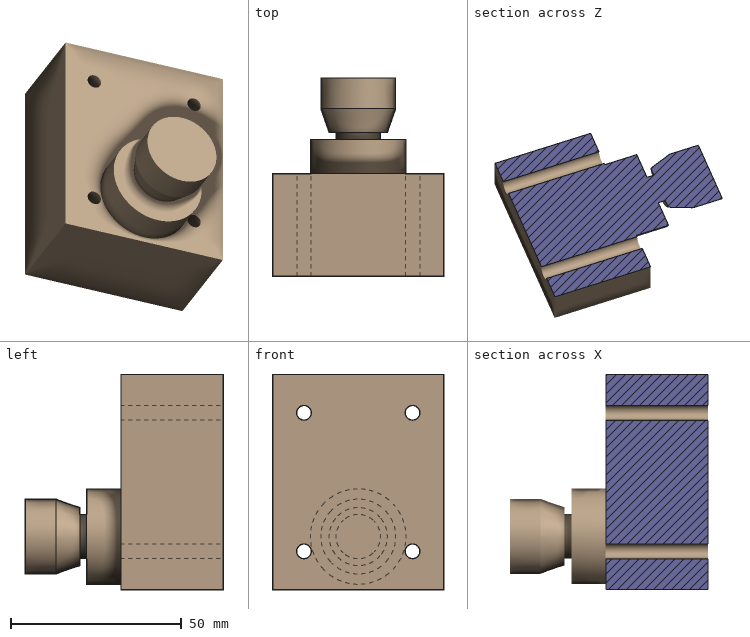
import cadquery as cq

block_width = 50.0
block_depth = 30.0
block_height = 63.0

hole_diameter = 4.2
hole_spacing_x = 31.75
hole_spacing_z = 40.5

knob_height = 15.55
collar_diameter = 28.0
collar_length = 10.0
neck_diameter = 13.0
neck_length = 2.0
cone_small_diameter = 17.0
cone_length = 7.0
cap_diameter = 21.9
cap_length = 9.0


def make_block():
    """Rectangular block with four holes passing through along Y."""
    block = cq.Workplane("XY").box(
        block_width, block_depth, block_height, centered=(True, False, True)
    )
    holes = (
        cq.Workplane("XZ")
        .rarray(hole_spacing_x, hole_spacing_z, 2, 2)
        .circle(hole_diameter / 2)
        .extrude(-block_depth)
    )
    return block.cut(holes)


def make_knob():
    """Collar, neck, cone and cap revolved about an axis parallel to Y."""
    collar_end = block_depth + collar_length
    neck_end = collar_end + neck_length
    cone_end = neck_end + cone_length
    cap_end = cone_end + cap_length
    profile = [
        (0, block_depth),
        (collar_diameter / 2, block_depth),
        (collar_diameter / 2, collar_end),
        (neck_diameter / 2, collar_end),
        (neck_diameter / 2, neck_end),
        (cone_small_diameter / 2, neck_end),
        (cap_diameter / 2, cone_end),
        (cap_diameter / 2, cap_end),
        (0, cap_end),
    ]
    knob = cq.Workplane("XY").polyline(profile).close().revolve(360, (0, 0), (0, 1))
    return knob.translate((0, 0, knob_height - block_height / 2))


result = make_block().union(make_knob())